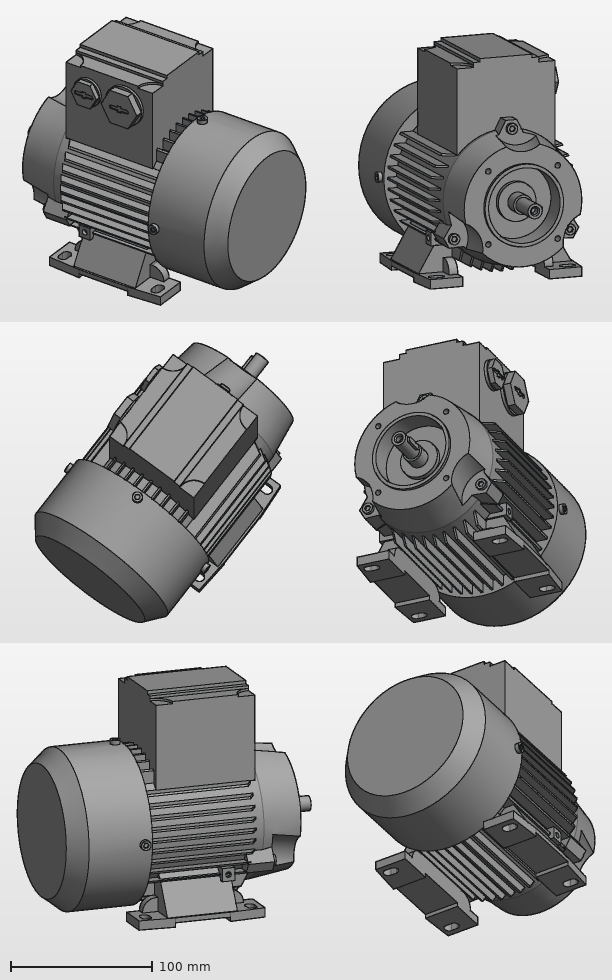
import cadquery as cq
import math


pilot_x = 20.5
flange_x = 22.9
shaft_step_x = 23.0
cavity_hub_x = 34.2
cavity_floor_x = 38.0
lug_x = 45.4
body_x = 52.6
fin_root_x = 58.5
fin_full_x = 63.5
lug_end_x = 65.5
cover_x = 141.0
cover_taper_x = 189.1
rear_x = 202.5

shaft_radius = 5.5
shaft_step_radius = 7.0
center_hole_radius = 2.5
center_hole_depth = 6.0
center_sink_radius = 3.5
pilot_radius = 30.0
cavity_radius = 27.3
hub_radius = 14.4
flange_radius = 45.0
body_radius = 49.2
fin_radius = 56.3
cover_radius = 59.0
cover_rear_radius = 48.5

key_start_x = 3.0
key_end_x = 19.5
key_width = 4.0
key_top = 6.9

flange_hole_pitch = 53.0
flange_hole_diameter = 4.0
flange_hole_depth = 10.1

lug_count = 3
lug_tip_radius = 57.1
lug_tip_half_width = 4.3
lug_base_radius = 42.5
lug_flare = 0.52
bolt_circle_radius = 51.0
bolt_head_diameter = 7.9
bolt_head_height = 2.5
bolt_socket_diameter = 4.5
bolt_socket_depth = 1.5
pocket_center_radius = 59.5
pocket_radius = 20.9
pocket_skew = 4.7

fin_pitch = 8.0
fin_thickness = 1.5
fins_each_side = 4

screw_x = 146.8
screw_diameter = 7.3
screw_top = 62.0
screw_socket_diameter = 4.0
screw_socket_depth = 1.2

box_start_x = 55.0
box_side = 75.0
box_bottom = 32.5
box_edge_top = 96.8
lid_step_top = 98.8
lid_step_half_width = 25.0
lid_top = 101.2
lid_half_width = 19.8
corner_recess_depth = 1.6
corner_recess_radius = box_side / 2 - lid_step_half_width

plug_z = 77.5
plug_disk_thickness = 2.2
plug_slot_length = 16.0
plug_slot_width = 2.8
plug_notch_width = 3.0
plug_notch_height = 5.0
plug_slot_depth = 1.0
small_plug_x = 74.5
small_plug_radius = 11.1
small_plug_flats = 19.0
small_plug_height = 3.8
large_plug_x = 106.3
large_plug_radius = 15.5
large_plug_flats = 26.7
large_plug_height = 5.7

foot_bottom = -63.0
foot_top = -56.0
foot_relief_z = -59.7
foot_start_x = 55.0
foot_end_x = 150.9
foot_relief_start_x = 82.0
foot_relief_end_x = 124.0
foot_inner_y = 33.0
foot_end_y = 58.0
foot_outer_y = 60.0
bracket_start_x = 76.3
bracket_end_x = 129.4
bracket_base_y = 58.3
bracket_shoulder_y = 43.7
bracket_shoulder_z = -31.4
bracket_top_y = 40.5
bracket_top_z = -27.7
rib_width = 6.7
rib_height = 10.3
rib_length = 11.7
rib_round = 10.0
slot_y = 50.0
slot_width = 7.0
slot_length = 11.5
slot_positions_x = (63.0, 143.0)
earth_block_x = 75.0
earth_block_width = 9.5
earth_block_bottom = -36.2
earth_block_height = 9.7
earth_block_outer_y = 49.6
earth_hole_diameter = 4.0
earth_hole_depth = 3.0


def block(x0, x1, y0, y1, z0, z1):
    return cq.Workplane("XY").box(x1 - x0, y1 - y0, z1 - z0, centered=False).translate((x0, y0, z0))


def across_corners(flats):
    return flats / math.cos(math.pi / 6)


def revolve_about_shaft(profile):
    """Turn a profile of (x, radius) points about the shaft axis."""
    return cq.Workplane("XY").polyline(profile).close().revolve(360, (0, 0, 0), (1, 0, 0))


def plane_across_shaft(x):
    """Plane with normal +X, local x along +Y and local y along +Z."""
    return cq.Workplane("YZ", origin=(x, 0, 0))


def lug_angles():
    return [i * 360 / lug_count for i in range(lug_count)]


def around_shaft(shape, angle):
    return shape.rotate((0, 0, 0), (1, 0, 0), angle)


def make_body():
    return revolve_about_shaft([
        (pilot_x, 0),
        (pilot_x, pilot_radius),
        (flange_x, pilot_radius),
        (flange_x, flange_radius),
        (body_x, body_radius),
        (cover_x, body_radius),
        (cover_x, cover_radius),
        (cover_taper_x, cover_radius),
        (rear_x, cover_rear_radius),
        (rear_x, 0),
    ])


def make_fins():
    """Horizontal fins on both sides and vertical fins above and below, trimmed to a round envelope."""
    envelope = revolve_about_shaft([
        (fin_root_x, 0),
        (fin_root_x, body_radius),
        (fin_full_x, fin_radius),
        (cover_x, fin_radius),
        (cover_x, 0),
    ])
    fins = cq.Workplane("XY")
    for i in range(-fins_each_side, fins_each_side + 1):
        low = i * fin_pitch - fin_thickness / 2
        high = low + fin_thickness
        fins = fins.add(block(fin_root_x, cover_x, -fin_radius, fin_radius, low, high))
        fins = fins.add(block(fin_root_x, cover_x, low, high, -fin_radius, fin_radius))
    return fins.combine().intersect(envelope)


def make_pocket():
    """Round scallop in front of the top lug, running slightly sideways toward -Y."""
    return (
        plane_across_shaft(flange_x)
        .center(0, pocket_center_radius)
        .circle(pocket_radius)
        .workplane(offset=lug_x - flange_x)
        .center(-pocket_skew, 0)
        .circle(pocket_radius)
        .loft()
    )


def make_lug():
    base_half_width = lug_tip_half_width + lug_flare * (lug_tip_radius - lug_base_radius)
    return (
        plane_across_shaft(lug_x)
        .polyline([
            (-base_half_width, lug_base_radius),
            (base_half_width, lug_base_radius),
            (lug_tip_half_width, lug_tip_radius),
            (-lug_tip_half_width, lug_tip_radius),
        ])
        .close()
        .extrude(lug_end_x - lug_x)
    )


def make_bolt_head():
    head = (
        plane_across_shaft(lug_x - bolt_head_height)
        .center(0, bolt_circle_radius)
        .circle(bolt_head_diameter / 2)
        .extrude(bolt_head_height)
    )
    socket = (
        plane_across_shaft(lug_x - bolt_head_height)
        .center(0, bolt_circle_radius)
        .polygon(6, bolt_socket_diameter)
        .extrude(bolt_socket_depth)
    )
    return head.cut(socket)


def make_cavity():
    """Round cavity with a raised hub around the shaft on its floor."""
    return revolve_about_shaft([
        (pilot_x, 0),
        (pilot_x, cavity_radius),
        (cavity_floor_x, cavity_radius),
        (cavity_floor_x, hub_radius),
        (cavity_hub_x, hub_radius),
        (cavity_hub_x, 0),
    ])


def make_flange_holes():
    return (
        plane_across_shaft(flange_x)
        .rect(flange_hole_pitch, flange_hole_pitch, forConstruction=True)
        .vertices()
        .circle(flange_hole_diameter / 2)
        .extrude(flange_hole_depth)
    )


def make_shaft():
    sink_depth = center_sink_radius - center_hole_radius
    turned = revolve_about_shaft([
        (0, center_sink_radius),
        (0, shaft_radius),
        (shaft_step_x, shaft_radius),
        (shaft_step_x, shaft_step_radius),
        (cavity_floor_x, shaft_step_radius),
        (cavity_floor_x, 0),
        (center_hole_depth, 0),
        (center_hole_depth, center_hole_radius),
        (sink_depth, center_hole_radius),
    ])
    key = (
        cq.Workplane("XZ", origin=((key_start_x + key_end_x) / 2, -shaft_radius / 2 - key_width / 4, 0))
        .slot2D(key_end_x - key_start_x, key_width)
        .extrude(key_top - shaft_radius / 2 - key_width / 4)
    )
    return turned.union(key)


def make_cover_screw():
    """Screw on the +Z side of the fan cover."""
    screw = (
        cq.Workplane("XY", origin=(screw_x, 0, body_radius))
        .circle(screw_diameter / 2)
        .extrude(screw_top - body_radius)
    )
    socket = (
        cq.Workplane("XY", origin=(screw_x, 0, screw_top - screw_socket_depth))
        .polygon(6, screw_socket_diameter)
        .extrude(screw_socket_depth)
    )
    return screw.cut(socket)


def make_terminal_box():
    half = box_side / 2
    end_x = box_start_x + box_side
    box = block(box_start_x, end_x, -half, half, box_bottom, box_edge_top)
    for x in (box_start_x, end_x):
        for y in (-half, half):
            recess = (
                cq.Workplane("XY", origin=(x, y, box_edge_top - corner_recess_depth))
                .circle(corner_recess_radius)
                .extrude(corner_recess_depth)
            )
            box = box.cut(recess)
    step = block(
        box_start_x, end_x, -lid_step_half_width, lid_step_half_width, box_edge_top, lid_step_top
    )
    lid = block(box_start_x, end_x, -lid_half_width, lid_half_width, lid_step_top, lid_top)
    return box.union(step).union(lid)


def make_plug(x, radius, flats, height):
    """Round collar with a hexagon head and a screwdriver slot, pointing toward -Y."""
    box_y = -box_side / 2
    head_y = box_y - plug_disk_thickness
    face_y = head_y - height
    collar = cq.Workplane("XZ", origin=(x, box_y, plug_z)).circle(radius).extrude(plug_disk_thickness)
    head = (
        cq.Workplane("XZ", origin=(x, head_y, plug_z))
        .polygon(6, across_corners(flats))
        .extrude(height)
    )
    face = cq.Workplane("XZ", origin=(x, face_y, plug_z))
    slot = face.slot2D(plug_slot_length, plug_slot_width).extrude(-plug_slot_depth)
    notch = face.rect(plug_notch_width, plug_notch_height).extrude(-plug_slot_depth)
    return collar.union(head).cut(slot).cut(notch)


def make_rib(start_x, end_x, rounded_side):
    """Rib on the foot plate against the bracket, rounded on its free end."""
    rib = block(
        start_x, end_x, foot_inner_y, foot_inner_y + rib_width, foot_top, foot_top + rib_height
    )
    return rib.edges(rounded_side).edges(">Z").fillet(rib_round)


def make_foot():
    """Foot on the +Y side."""
    plate = (
        cq.Workplane("XY", origin=(0, 0, foot_bottom))
        .polyline([
            (foot_start_x, foot_inner_y),
            (foot_start_x, foot_end_y),
            (foot_relief_start_x, foot_outer_y),
            (foot_relief_end_x, foot_outer_y),
            (foot_end_x, foot_end_y),
            (foot_end_x, foot_inner_y),
        ])
        .close()
        .extrude(foot_top - foot_bottom)
    )
    plate = plate.cut(block(
        foot_relief_start_x, foot_relief_end_x, 0, foot_outer_y, foot_bottom, foot_relief_z
    ))
    slots = (
        cq.Workplane("XY", origin=(0, slot_y, foot_bottom))
        .pushPoints([(x, 0) for x in slot_positions_x])
        .slot2D(slot_length, slot_width, 90)
        .extrude(foot_top - foot_bottom)
    )
    bracket = (
        plane_across_shaft(bracket_start_x)
        .polyline([
            (foot_inner_y, foot_top),
            (bracket_base_y, foot_top),
            (bracket_shoulder_y, bracket_shoulder_z),
            (bracket_top_y, bracket_top_z),
            (foot_inner_y, bracket_top_z),
        ])
        .close()
        .extrude(bracket_end_x - bracket_start_x)
    )
    front_rib = make_rib(bracket_start_x - rib_length, bracket_start_x, "<X")
    rear_rib = make_rib(bracket_end_x, bracket_end_x + rib_length, ">X")
    earth_block = block(
        earth_block_x, earth_block_x + earth_block_width,
        foot_inner_y, earth_block_outer_y,
        earth_block_bottom, earth_block_bottom + earth_block_height,
    )
    earth_hole = (
        earth_block.faces(">Y").workplane(centerOption="CenterOfBoundBox")
        .circle(earth_hole_diameter / 2)
        .extrude(-earth_hole_depth, combine=False)
    )
    foot = plate.cut(slots).union(bracket).union(front_rib).union(rear_rib)
    return foot.union(earth_block).cut(earth_hole)


motor = make_body()
for angle in lug_angles():
    motor = motor.cut(around_shaft(make_pocket(), angle))
motor = motor.cut(make_cavity()).cut(make_flange_holes())

motor = motor.union(make_fins())
for angle in lug_angles():
    motor = motor.union(around_shaft(make_lug(), angle))
    motor = motor.union(around_shaft(make_bolt_head(), angle))
motor = motor.union(make_shaft())

for angle in (-90, 0, 90):
    motor = motor.union(around_shaft(make_cover_screw(), angle))

motor = motor.union(make_terminal_box())
motor = motor.union(make_plug(small_plug_x, small_plug_radius, small_plug_flats, small_plug_height))
motor = motor.union(make_plug(large_plug_x, large_plug_radius, large_plug_flats, large_plug_height))

left_foot = make_foot()
motor = motor.union(left_foot).union(left_foot.mirror("XZ"))

result = motor